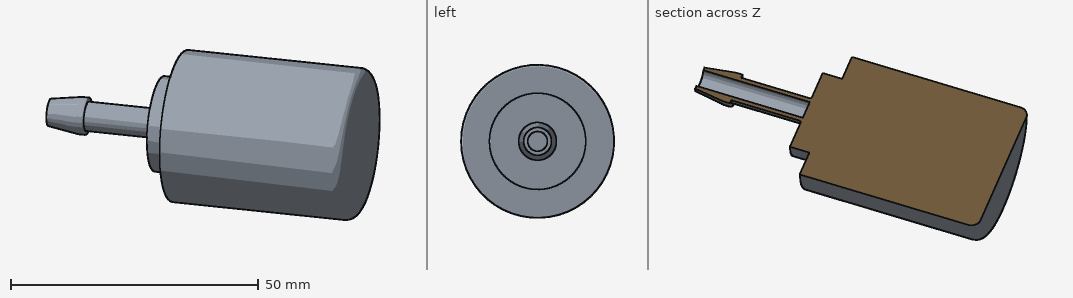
import cadquery as cq

total_length = 65.4
cone_end = 6.4
barb_end = 7.9
collar_start = 22.9
body_start = 27.1

tip_diameter = 5.6
barb_diameter = 7.65
shank_diameter = 6.0
bore_diameter = 4.0
collar_diameter = 19.5
body_diameter = 31.0

barb_rear_fillet = 0.2
shank_root_fillet = 0.4
collar_fillet = 0.2
body_front_fillet = 0.4
body_end_fillet = 2.0


def cylinder(start, end, diameter):
    """Solid cylinder on the X axis between two positions."""
    return cq.Workplane("YZ", origin=(start, 0, 0)).circle(diameter / 2).extrude(end - start)


def make_barb():
    """Tapered barb with a short cylindrical land and a rounded rear edge."""
    return (
        cq.Workplane("XY")
        .moveTo(0, 0)
        .lineTo(0, tip_diameter / 2)
        .lineTo(cone_end, barb_diameter / 2)
        .lineTo(barb_end, barb_diameter / 2)
        .lineTo(barb_end, 0)
        .close()
        .revolve(360, (0, 0, 0), (1, 0, 0))
        .faces(">X")
        .edges()
        .fillet(barb_rear_fillet)
    )


def make_shank():
    """Hose shank that flares through a concave fillet into the collar face."""
    radius = shank_diameter / 2
    return (
        cq.Workplane("XY")
        .moveTo(barb_end, 0)
        .lineTo(barb_end, radius)
        .lineTo(collar_start - shank_root_fillet, radius)
        .radiusArc((collar_start, radius + shank_root_fillet), -shank_root_fillet)
        .lineTo(collar_start, 0)
        .close()
        .revolve(360, (0, 0, 0), (1, 0, 0))
    )


collar = cylinder(collar_start, body_start, collar_diameter).faces("<X").edges().fillet(collar_fillet)

body = cylinder(body_start, total_length, body_diameter)
body = body.faces("<X").edges().fillet(body_front_fillet)
body = body.faces(">X").edges().fillet(body_end_fillet)

bore = cylinder(0, collar_start, bore_diameter)

result = make_barb().union(make_shank()).union(collar).union(body).cut(bore)